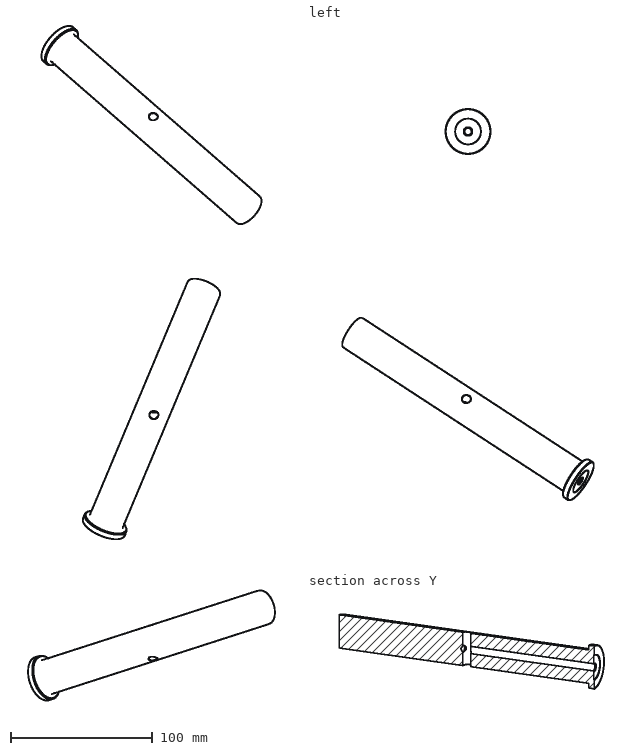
import cadquery as cq

total_length = 200.0
pin_diameter = 25.0
pin_radius = pin_diameter / 2

head_diameter = 32.0
head_thickness = 4.75
head_front_chamfer = 0.4
head_back_chamfer = 0.75
root_fillet = 0.25

recess_diameter = 18.4
recess_depth = 0.3
recess_wall_slope = 0.2

lead_in_length = 2.0
lead_in_depth = 0.2
end_fillet = 0.5

axial_bore_diameter = 5.0
axial_bore_chamfer = 0.6
axial_bore_depth = 103.0
drill_tip_length = 1.5

cross_hole_diameter = 6.0
cross_hole_chamfer = 0.3
cross_hole_x = total_length / 2


def revolve_about_x(half_profile):
    return half_profile.close().revolve(360, (0, 0, 0), (1, 0, 0))


def turned_body():
    head_radius = head_diameter / 2
    end_radius = pin_radius - lead_in_depth
    return revolve_about_x(
        cq.Workplane("XY")
        .lineTo(0, head_radius - head_front_chamfer)
        .lineTo(head_front_chamfer, head_radius)
        .lineTo(head_thickness - head_back_chamfer, head_radius)
        .lineTo(head_thickness, head_radius - head_back_chamfer)
        .lineTo(head_thickness, pin_radius + root_fillet)
        .radiusArc((head_thickness + root_fillet, pin_radius), -root_fillet)
        .lineTo(total_length - lead_in_length, pin_radius)
        .lineTo(total_length - end_fillet, end_radius)
        .radiusArc((total_length, end_radius - end_fillet), end_fillet)
        .lineTo(total_length, 0)
    )


def face_recess():
    recess_radius = recess_diameter / 2
    return revolve_about_x(
        cq.Workplane("XY")
        .lineTo(0, recess_radius)
        .lineTo(recess_depth, recess_radius - recess_wall_slope)
        .lineTo(recess_depth, 0)
    )


def axial_bore():
    bore_radius = axial_bore_diameter / 2
    chamfer_end = recess_depth + axial_bore_chamfer
    return revolve_about_x(
        cq.Workplane("XY")
        .lineTo(0, bore_radius + axial_bore_chamfer)
        .lineTo(recess_depth, bore_radius + axial_bore_chamfer)
        .lineTo(chamfer_end, bore_radius)
        .lineTo(axial_bore_depth, bore_radius)
        .lineTo(axial_bore_depth + drill_tip_length, 0)
    )


def with_cross_hole(body):
    """Drill through the pin along Z and break both rims of the hole."""
    drill = (
        cq.Workplane("XY")
        .center(cross_hole_x, 0)
        .circle(cross_hole_diameter / 2)
        .extrude(pin_radius, both=True)
    )
    rim_reach = cross_hole_diameter
    rim_zone = cq.selectors.BoxSelector(
        (cross_hole_x - rim_reach, -rim_reach, -total_length),
        (cross_hole_x + rim_reach, rim_reach, total_length),
    )
    return body.cut(drill).edges(rim_zone).edges("not |Z").chamfer(cross_hole_chamfer)


result = with_cross_hole(turned_body()).cut(face_recess()).cut(axial_bore())